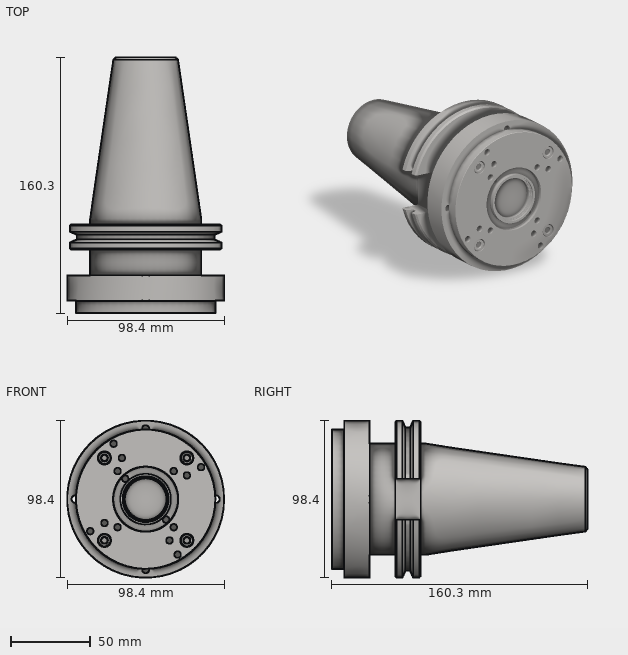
import cadquery as cq
import math

COLLAR_FRONT = 7.9
COLLAR_BACK = 23.7
FLANGE_FRONT = 39.8
FLANGE_BACK = 55.6
GAUGE_LINE = 58.5
TAPER_END = 160.3

PLATE_RADIUS = 43.8
PLATE_CHAMFER = 0.24
COLLAR_RADIUS = 49.2
NECK_RADIUS = 35.0
FLANGE_RADIUS = COLLAR_RADIUS
FLANGE_CHAMFER = 1.0
TAPER_RATIO = 7 / 24
TAPER_END_CHAMFER = 1.6
TAPER_END_RADIUS = NECK_RADIUS - (TAPER_END - GAUGE_LINE) * TAPER_RATIO / 2

GROOVE_CENTRE = 47.6
GROOVE_MOUTH_WIDTH = 6.7
GROOVE_FLOOR_WIDTH = 2.9
GROOVE_FLOOR_RADIUS = 45.0

SLOT_WIDTH = 25.8
SLOT_FLOOR = 35.3

RECESS_RADIUS = 20.5
RECESS_DEPTH = 3.2
BOSS_RADIUS = 15.9
RECESS_ROOT_CHAMFER = 0.3
BORE_STEPS = [
    (14.5, 1.5),
    (14.0, 2.0),
    (13.5, 2.2),
    (13.0, 5.0),
]

PIN_HOLE_RADIUS = 2.1
PIN_HOLE_DEPTH = 6.4
PIN_CIRCLES = [
    (40.0, 30, 4),
    (29.8, 30, 4),
    (24.8, 45, 4),
    (18.1, 135, 2),
]
COLLAR_HOLE_RADIUS = 2.2
COLLAR_HOLE_CIRCLE = 44.1
COLLAR_HOLE_COUNT = 4

SCREW_OFFSET = 25.8
SCREW_POCKET_RADIUS = 4.2
SCREW_HEAD_RADIUS = 3.7
SCREW_HEAD_RECESS = 0.6
SCREW_POCKET_DEPTH = 4.8
SOCKET_RADIUS = 2.0
SOCKET_DEPTH = 1.3
SOCKET_CHAMFER = 0.3


def cylinder(radius, start, end, x=0, z=0):
    """Solid cylinder along Y from start to end."""
    return cq.Workplane("XZ", origin=(x, start, z)).circle(radius).extrude(start - end)


def on_circle(radius, first_angle, count):
    """Evenly spaced (x, z) places on a circle about the tool axis."""
    angles = [math.radians(first_angle + i * 360 / count) for i in range(count)]
    return [(radius * math.cos(a), radius * math.sin(a)) for a in angles]


def make_shank():
    outline = [
        (0, COLLAR_BACK),
        (NECK_RADIUS, COLLAR_BACK),
        (NECK_RADIUS, GAUGE_LINE),
        (TAPER_END_RADIUS, TAPER_END),
        (0, TAPER_END),
    ]
    shank = cq.Workplane("XY").polyline(outline).close().revolve(360, (0, 0), (0, 1))
    return shank.faces(">Y").chamfer(TAPER_END_CHAMFER)


def make_flange():
    mouth = GROOVE_MOUTH_WIDTH / 2
    floor = GROOVE_FLOOR_WIDTH / 2
    rim = FLANGE_RADIUS - FLANGE_CHAMFER
    outline = [
        (0, FLANGE_FRONT),
        (rim, FLANGE_FRONT),
        (FLANGE_RADIUS, FLANGE_FRONT + FLANGE_CHAMFER),
        (FLANGE_RADIUS, GROOVE_CENTRE - mouth),
        (GROOVE_FLOOR_RADIUS, GROOVE_CENTRE - floor),
        (GROOVE_FLOOR_RADIUS, GROOVE_CENTRE + floor),
        (FLANGE_RADIUS, GROOVE_CENTRE + mouth),
        (FLANGE_RADIUS, FLANGE_BACK - FLANGE_CHAMFER),
        (rim, FLANGE_BACK),
        (0, FLANGE_BACK),
    ]
    flange = cq.Workplane("XY").polyline(outline).close().revolve(360, (0, 0), (0, 1))
    slot_depth = FLANGE_RADIUS - SLOT_FLOOR
    for side in (-1, 1):
        slot = cq.Workplane("XY").box(slot_depth, FLANGE_BACK - FLANGE_FRONT, SLOT_WIDTH)
        slot_x = side * (SLOT_FLOOR + slot_depth / 2)
        flange = flange.cut(slot.translate((slot_x, (FLANGE_FRONT + FLANGE_BACK) / 2, 0)))
    return flange


def make_collar():
    collar = cylinder(COLLAR_RADIUS, COLLAR_FRONT, COLLAR_BACK)
    for x, z in on_circle(COLLAR_HOLE_CIRCLE, 0, COLLAR_HOLE_COUNT):
        collar = collar.cut(cylinder(COLLAR_HOLE_RADIUS, COLLAR_FRONT, COLLAR_BACK, x, z))
    return collar


def make_plate():
    return cylinder(PLATE_RADIUS, 0, COLLAR_FRONT).faces("<Y or >Y").chamfer(PLATE_CHAMFER)


def cut_recess(body):
    recess = cylinder(RECESS_RADIUS, 0, RECESS_DEPTH).faces(">Y").chamfer(RECESS_ROOT_CHAMFER)
    body = body.cut(recess.cut(cylinder(BOSS_RADIUS, 0, RECESS_DEPTH)))
    for radius, depth in BORE_STEPS:
        body = body.cut(cylinder(radius, 0, depth))
    return body


def cut_pin_holes(body):
    for radius, first_angle, count in PIN_CIRCLES:
        for x, z in on_circle(radius, first_angle, count):
            body = body.cut(cylinder(PIN_HOLE_RADIUS, 0, PIN_HOLE_DEPTH, x, z))
    return body


def add_screws(body):
    corners = [(x, z) for x in (-SCREW_OFFSET, SCREW_OFFSET) for z in (-SCREW_OFFSET, SCREW_OFFSET)]
    for x, z in corners:
        pocket = cylinder(SCREW_POCKET_RADIUS, 0, SCREW_POCKET_DEPTH, x, z)
        head = cylinder(SCREW_HEAD_RADIUS, SCREW_HEAD_RECESS, SCREW_POCKET_DEPTH, x, z)
        socket = cylinder(SOCKET_RADIUS, SCREW_HEAD_RECESS, SCREW_HEAD_RECESS + SOCKET_DEPTH, x, z)
        socket_mouth = head.cut(socket).faces("<Y").edges(cq.selectors.RadiusNthSelector(0))
        screw = socket_mouth.chamfer(SOCKET_CHAMFER)
        body = body.cut(pocket).union(screw)
    return body


body = make_shank().union(make_flange()).union(make_collar()).union(make_plate())
body = cut_recess(body)
body = cut_pin_holes(body)
result = add_screws(body)